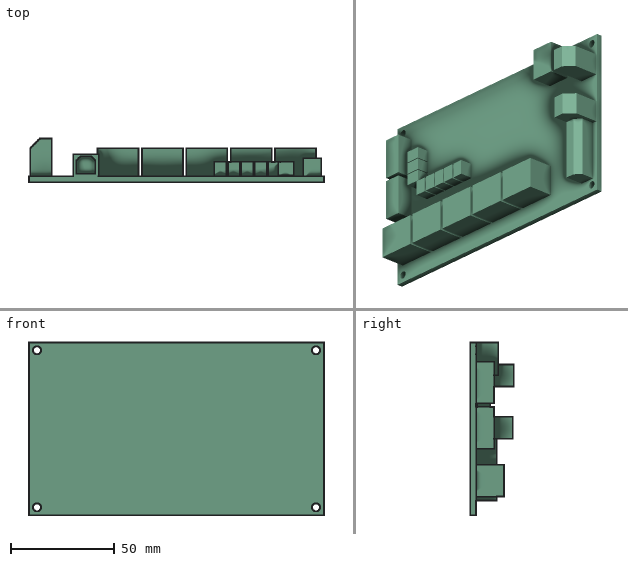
import cadquery as cq


board_length = 143.0
board_height = 83.9
board_thickness = 3.0
mount_hole_diameter = 3.8
mount_hole_inset = 3.9

terminal_left = -70.9
terminal_width = 10.5
terminal_length = 10.8
terminal_chamfer = 4.75
upper_terminal_top = 21.3
upper_terminal_bottom_z = 20.4
middle_terminal_top = 20.8
middle_terminal_bottom_z = -4.9

strip_left = -68.5
strip_width = 8.0
strip_top = 13.0
strip_chamfer = 3.15
strip_bottom_z = -34.8

socket_left = -50.1
socket_width = 12.4
socket_top = 13.7
socket_depth = 16.0
port_width = 9.2
port_bottom = 4.2
port_top = 12.6
port_chamfer = 2.0
port_depth = 10.0

driver_count = 5
driver_left = -38.3
driver_width = 20.0
driver_pitch = 21.5
driver_length = 15.5
driver_top = 16.5
driver_bottom_z = -32.9

connector_top = 9.9
connector_long_side = 7.4
connector_short_side = 5.7

seated_count = 5
seated_left = 18.35
seated_pitch = 6.55
seated_bottom_z = -3.4

column_count = 3
column_left = 49.35
column_pitch = 6.1
column_lowest_z = 4.2
column_clearance = 0.4

header_left = 61.4
header_width = 8.8
header_length = 20.3
header_top = 11.7
header_gap = 1.7
upper_header_bottom_z = 12.3


def block(left, width, top, bottom_z, length, base=0.0):
    """Box from Y = base to Y = top; width runs along X and length along Z."""
    size_y = top - base
    box = cq.Workplane("XY").box(width, size_y, length, centered=False)
    return box.translate((left, base, bottom_z))


def chamfered_block(left, width, top, bottom_z, length, chamfer):
    """Block whose outer edge on the -X side is bevelled."""
    return block(left, width, top, bottom_z, length).edges("<X and >Y").chamfer(chamfer)


def make_board():
    hole_x_spacing = board_length - 2 * mount_hole_inset
    hole_z_spacing = board_height - 2 * mount_hole_inset
    plate = block(-board_length / 2, board_length, board_thickness, -board_height / 2, board_height)
    holes = (
        cq.Workplane("XZ")
        .rect(hole_x_spacing, hole_z_spacing, forConstruction=True)
        .vertices()
        .circle(mount_hole_diameter / 2)
        .extrude(-board_thickness)
    )
    return plate.cut(holes)


def make_usb_socket():
    """Shell with a port open at the upper end; the port's two outer corners are bevelled."""
    socket_end = board_height / 2
    port_left = socket_left + (socket_width - port_width) / 2
    port = block(port_left, port_width, port_top, socket_end - port_depth, port_depth, port_bottom)
    port = port.faces(">Y").edges("|Z").chamfer(port_chamfer)
    shell = block(socket_left, socket_width, socket_top, socket_end - socket_depth, socket_depth)
    return shell.cut(port)


def make_terminals():
    upper = chamfered_block(
        terminal_left, terminal_width, upper_terminal_top,
        upper_terminal_bottom_z, terminal_length, terminal_chamfer,
    )
    middle = chamfered_block(
        terminal_left, terminal_width, middle_terminal_top,
        middle_terminal_bottom_z, terminal_length, terminal_chamfer,
    )
    strip_length = middle_terminal_bottom_z - strip_bottom_z
    strip = chamfered_block(
        strip_left, strip_width, strip_top, strip_bottom_z, strip_length, strip_chamfer
    )
    return [upper, middle, strip]


def make_drivers():
    return [
        block(driver_left + i * driver_pitch, driver_width, driver_top, driver_bottom_z, driver_length)
        for i in range(driver_count)
    ]


def make_seated_connectors():
    return [
        block(
            seated_left + i * seated_pitch, connector_short_side, connector_top,
            seated_bottom_z, connector_long_side,
        )
        for i in range(seated_count)
    ]


def make_headers():
    lower_header_bottom_z = upper_header_bottom_z - header_gap - header_length
    return [
        block(header_left, header_width, header_top, bottom_z, header_length)
        for bottom_z in (upper_header_bottom_z, lower_header_bottom_z)
    ]


def make_board_assembly():
    """Board with the components that are one piece with it."""
    components = [
        make_usb_socket(),
        *make_terminals(),
        *make_drivers(),
        *make_seated_connectors(),
        *make_headers(),
    ]
    assembly = make_board()
    for component in components:
        assembly = assembly.union(component)
    return assembly


def make_column_connector(index):
    return block(
        column_left, connector_long_side, connector_top,
        column_lowest_z + index * column_pitch, connector_short_side,
        board_thickness + column_clearance,
    )


board_assembly = make_board_assembly()
column_connectors = [make_column_connector(i) for i in range(column_count)]

result = cq.Compound.makeCompound(
    [board_assembly.val(), *[connector.val() for connector in column_connectors]]
)